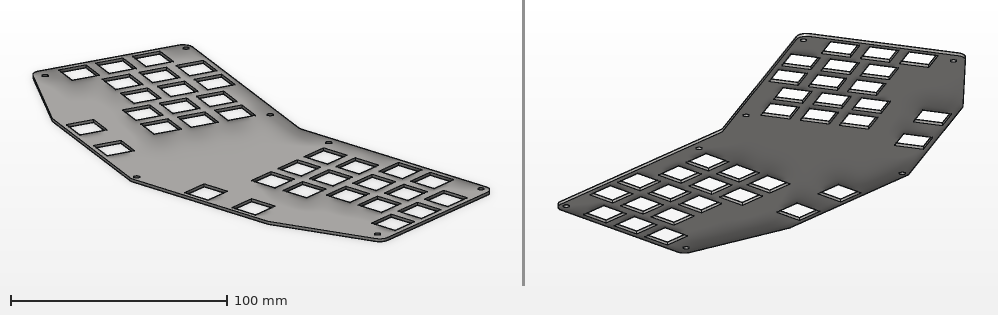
import cadquery as cq
import math

LENGTH = 260.7
WIDTH = 122.5
THICKNESS = 1.5
TILT = 12.0
COS_TILT = math.cos(math.radians(TILT))
SIN_TILT = math.sin(math.radians(TILT))

CORNER_RADIUS = 5.0
TOP_EDGE = 37.0
OUTER_TIP_Y = -14.0
SLANT_ANGLE = 16.7

KEY_PITCH = 19.0
OPENING = 14.0
OUTER_COLUMN = -114.7
ROWS = 3
COLUMN_BOTTOMS = [-24.0, -11.0, -11.0, -19.3, -19.3]
THUMB_UP = -50.5
THUMB_OUTER = -53.0
THUMB_KEYS = 2
THUMB_SPACING = 1.5 * KEY_PITCH

SCREW_DIAMETER = 2.9
HALF_SCREWS = [(-119.7, 33.5), (-118.3, -39.5), (-29.2, 32.3)]
CENTRE_SCREW_Y = -58.1


def tilted(along, up):
    """Plate position of a point in the untilted frame of the left half."""
    return (along * COS_TILT + up * SIN_TILT, up * COS_TILT - along * SIN_TILT)


def untilted(x, y):
    """Point of the left half's untilted frame at a plate position."""
    return (x * COS_TILT - y * SIN_TILT, x * SIN_TILT + y * COS_TILT)


def left_outline():
    """Sharp corners of the left half, from the valley on the centre line down to the lowest point."""
    arc_along, arc_up = untilted(CORNER_RADIUS - LENGTH / 2, OUTER_TIP_Y)
    outer_edge = arc_along - CORNER_RADIUS
    turn = math.radians(90 - SLANT_ANGLE)
    outer_corner_up = arc_up - CORNER_RADIUS * math.tan(turn / 2)

    top_arc_y = tilted(outer_edge + CORNER_RADIUS, TOP_EDGE - CORNER_RADIUS)[1]
    lowest_arc_y = top_arc_y + CORNER_RADIUS - WIDTH + CORNER_RADIUS
    bottom_edge = lowest_arc_y * COS_TILT - CORNER_RADIUS

    slant_run = (outer_corner_up - bottom_edge) / math.tan(math.radians(SLANT_ANGLE))
    return [
        (0, TOP_EDGE / COS_TILT),
        tilted(outer_edge, TOP_EDGE),
        tilted(outer_edge, outer_corner_up),
        tilted(outer_edge + slant_run, bottom_edge),
        (0, bottom_edge / COS_TILT),
    ]


def plate():
    left_side = left_outline()
    right_side = [(-x, y) for x, y in reversed(left_side[1:-1])]
    body = cq.Workplane("XY").polyline(left_side + right_side).close().extrude(THICKNESS)
    return body.edges("|Z").fillet(CORNER_RADIUS)


def key_centres():
    """Untilted key centres of one half: the finger columns, then the thumb keys."""
    centres = []
    for column, bottom in enumerate(COLUMN_BOTTOMS):
        for row in range(ROWS):
            centres.append((OUTER_COLUMN + column * KEY_PITCH, bottom + row * KEY_PITCH))
    for thumb in range(THUMB_KEYS):
        centres.append((THUMB_OUTER + thumb * THUMB_SPACING, THUMB_UP))
    return centres


def left_openings():
    cutter = cq.Workplane("XY").pushPoints(key_centres()).rect(OPENING, OPENING).extrude(THICKNESS)
    return cutter.rotate((0, 0, 0), (0, 0, 1), -TILT)


def screw_holes():
    left = [tilted(along, up) for along, up in HALF_SCREWS]
    right = [(-x, y) for x, y in left]
    centres = left + right + [(0, CENTRE_SCREW_Y)]
    return cq.Workplane("XY").pushPoints(centres).circle(SCREW_DIAMETER / 2).extrude(THICKNESS)


openings = left_openings()
result = plate().cut(openings).cut(openings.mirror("YZ")).cut(screw_holes())